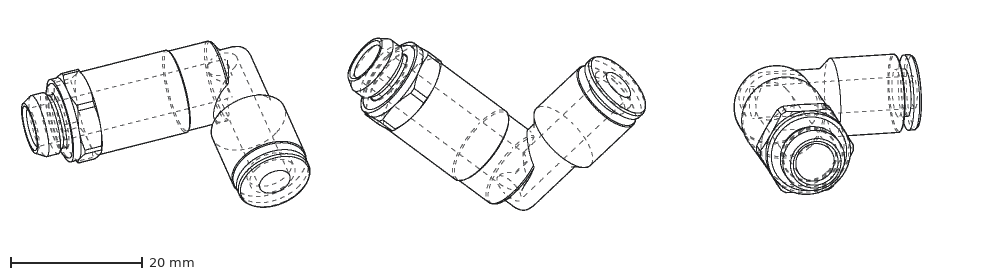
import cadquery as cq
import math


elbow_radius = 4.52

shoulder_blend_start = 0.23
shoulder_start = 0.57
shoulder_rim = 1.5
shoulder_edge = 1.8
sleeve_end = 8.25
body_start = 8.45
hex_start = 22.5
hex_end = 25.9
collar_end = 27.1
thread_neck_end = 27.95
thread_full = 28.65
thread_taper = 30.5
stem_end = 32.0

shoulder_radius = 4.7
shoulder_rim_radius = 6.15
sleeve_radius = 6.27
body_radius = 6.5
neck_radius = 4.18
thread_radius = 4.83
tip_radius = 3.95

hex_flats = 2 * body_radius
hex_corner_radius = 7.25
hex_chamfer = 0.38

seal_center_radius = 5.1
seal_section_radius = 0.85
seal_station = 26.83

cone_blend_start = 7.68
cone_start = 7.98
cone_end = 9.5
socket_end = 19.57
release_ring_start = 20.98
release_ring_end = 22.2

cone_start_radius = 4.65
socket_radius = 6.0
socket_chamfer = 0.15
release_neck_radius = 3.65
release_ring_radius = 5.78
release_chamfer_length = 0.35
release_chamfer_depth = 0.23

stem_bore_radius = 3.0
stem_bore_mouth_radius = 3.5
stem_bore_chamfer = 0.5
socket_bore_radius = 2.47


def tangent_arc_middle(start, end):
    """Middle of the arc from `start` to `end` that leaves along the first coordinate."""
    along = end[0] - start[0]
    rise = end[1] - start[1]
    radius = (along ** 2 + rise ** 2) / (2 * rise)
    half_angle = math.atan2(rise, along)
    return start[0] + radius * math.sin(half_angle), start[1] + radius * (1 - math.cos(half_angle))


def turning(profile, blend_start=None):
    """Revolve (station, radius) pairs about the X axis, closing on the axis.

    With `blend_start`, the outline leaves the elbow surface there along a tangent arc
    that ends at the first pair.
    """
    start = profile[0] if blend_start is None else (blend_start, elbow_radius)
    outline = cq.Workplane("XY").moveTo(start[0], 0).lineTo(*start)
    if blend_start is not None:
        outline = outline.threePointArc(tangent_arc_middle(start, profile[0]), profile[0])
    for point in profile[1:]:
        outline = outline.lineTo(*point)
    return outline.lineTo(profile[-1][0], 0).close().revolve(360, (0, 0), (1, 0))


def along_stem(part):
    """Turn a part built along +X so that it runs along -Y."""
    return part.rotate((0, 0, 0), (0, 0, 1), -90)


def make_elbow():
    """Two equal cylinders meeting square, with a rounded cap over the outer corner.

    The cap is a wedge of the ellipsoid (x^2 + x*y + y^2) / 0.75 + z^2 = r^2. It runs smoothly into
    both cylinders along the planes y = -x / 2 and y = -2 * x, halfway out to the corner.
    """
    reach = 3 * elbow_radius
    along_x = cq.Workplane("YZ").workplane(offset=-reach).circle(elbow_radius).extrude(reach + cone_start)
    along_y = cq.Workplane("XZ").workplane(offset=-reach).circle(elbow_radius).extrude(reach + sleeve_end)

    def sector(*corners):
        """Tall prism over a polygon that starts at the elbow centre."""
        outline = cq.Workplane("XY").polyline([(0, 0), *corners]).close()
        return outline.extrude(reach, both=True)

    inner_corner = (reach, -reach)
    stem_tangent = (-reach, reach / 2)
    socket_tangent = (-reach / 2, reach)
    socket_leg = along_x.intersect(sector(inner_corner, (reach, reach), socket_tangent))
    stem_leg = along_y.intersect(sector(stem_tangent, (-reach, -reach), inner_corner))

    stretch = cq.Matrix([
        [math.sqrt(1 / 2), 0, 0, 0],
        [0, math.sqrt(3 / 2), 0, 0],
        [0, 0, 1, 0],
    ])
    ball = cq.Workplane("YZ").sphere(elbow_radius).val()
    ellipsoid = cq.Workplane(ball.transformGeometry(stretch)).rotate((0, 0, 0), (0, 0, 1), 45)
    cap = ellipsoid.intersect(sector(socket_tangent, stem_tangent))
    return socket_leg.union(stem_leg).union(cap)


def make_stem():
    return along_stem(turning([
        (shoulder_start, shoulder_radius),
        (shoulder_rim, shoulder_rim_radius),
        (shoulder_edge, sleeve_radius),
        (sleeve_end, sleeve_radius),
        (body_start, body_radius),
        (collar_end, body_radius),
        (collar_end, neck_radius),
        (thread_neck_end, neck_radius),
        (thread_full, thread_radius),
        (thread_taper, thread_radius),
        (stem_end, tip_radius),
    ], blend_start=shoulder_blend_start))


def make_hexagon():
    """Hexagon with flats facing up and down, corners turned and chamfered."""
    across_corners = hex_flats / math.cos(math.pi / 6)
    prism = (cq.Workplane("XZ").workplane(offset=hex_start)
             .polygon(6, across_corners).extrude(hex_end - hex_start))
    envelope = along_stem(turning([
        (hex_start, body_radius),
        (hex_start + hex_chamfer, hex_corner_radius),
        (hex_end - hex_chamfer, hex_corner_radius),
        (hex_end, body_radius),
    ]))
    return prism.intersect(envelope)


def make_seal():
    return (cq.Workplane("XY").center(seal_center_radius, -seal_station).circle(seal_section_radius)
            .revolve(360, (-seal_center_radius, 0), (-seal_center_radius, 1)))


def make_socket():
    return turning([
        (cone_start, cone_start_radius),
        (cone_end, socket_radius),
        (socket_end - socket_chamfer, socket_radius),
        (socket_end, socket_radius - socket_chamfer),
        (socket_end, release_neck_radius),
        (release_ring_start, release_neck_radius),
        (release_ring_start, release_ring_radius),
        (release_ring_end - release_chamfer_length, release_ring_radius),
        (release_ring_end, release_ring_radius - release_chamfer_depth),
    ], blend_start=cone_blend_start)


def make_passages():
    """Stem bore with a chamfered mouth, meeting the socket bore in the elbow."""
    stem_bore = along_stem(turning([
        (0, stem_bore_radius),
        (stem_end - stem_bore_chamfer, stem_bore_radius),
        (stem_end, stem_bore_mouth_radius),
    ]))
    socket_bore = turning([
        (-stem_bore_radius, socket_bore_radius),
        (release_ring_end, socket_bore_radius),
    ])
    return stem_bore.union(socket_bore)


result = make_elbow()
for piece in (make_stem(), make_hexagon(), make_seal(), make_socket()):
    result = result.union(piece)
result = result.cut(make_passages())